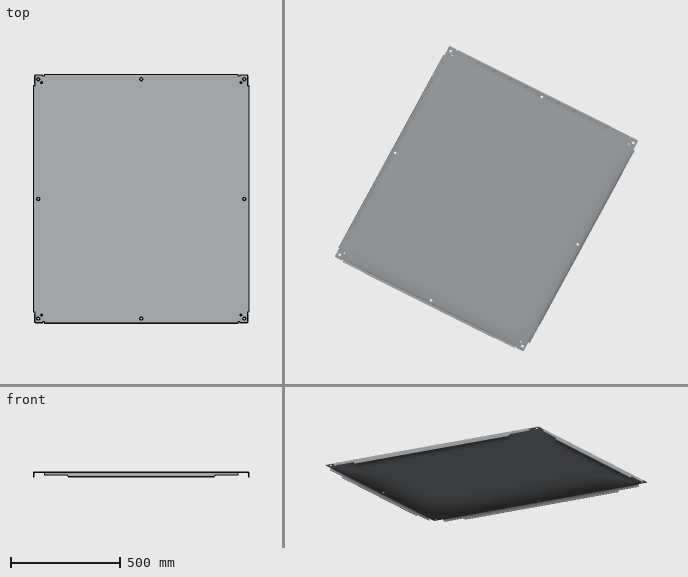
import cadquery as cq

LENGTH_X = 988.0
LENGTH_Y = 1141.0
HEIGHT = 22.0
SHEET = 3.0

BEND_RADIUS = 6.3
SIDE_FLANGE_LENGTH = 1039.0
END_FLANGE_LENGTH = 888.0
STEP_HEIGHT = 14.0
STEP_LENGTH = 104.0
STEP_CHAMFER = 7.0

SIDE_TAB_INSET = 6.0
END_TAB_INSET = 1.7
TAB_RADIUS = 6.0
RELIEF_WIDTH = 8.0

MOUNT_DIAMETER = 13.0
MOUNT_X = 473.0
MOUNT_Y = 549.0
PILOT_DIAMETER = 7.2
PILOT_OFFSET = 16.0

CORNERS = [(sx, sy) for sx in (-1, 1) for sy in (-1, 1)]


def make_plate():
    """Flat panel with rounded corners, cut back to the bend lines and relief slots."""
    plate = (
        cq.Workplane("XY")
        .workplane(offset=-SHEET)
        .rect(LENGTH_X - 2 * SIDE_TAB_INSET, LENGTH_Y - 2 * END_TAB_INSET)
        .extrude(SHEET)
        .edges("|Z")
        .fillet(TAB_RADIUS)
    )
    side_gap = cq.Workplane("XY").box(2 * BEND_RADIUS, SIDE_FLANGE_LENGTH + 2 * RELIEF_WIDTH, HEIGHT)
    end_gap = cq.Workplane("XY").box(END_FLANGE_LENGTH + 2 * RELIEF_WIDTH, 2 * BEND_RADIUS, HEIGHT)
    for sign in (-1, 1):
        plate = plate.cut(side_gap.translate((sign * LENGTH_X / 2, 0, 0)))
        plate = plate.cut(end_gap.translate((0, sign * LENGTH_Y / 2, 0)))
    return plate


def make_flange(length, reach):
    """Bent flange along Y whose outer face lies at x = reach, shallower near its ends."""
    inner_radius = BEND_RADIUS - SHEET
    root = reach - BEND_RADIUS
    diagonal = 0.5 ** 0.5
    flange = (
        cq.Workplane("XZ")
        .moveTo(root, 0)
        .threePointArc(
            (root + BEND_RADIUS * diagonal, -BEND_RADIUS * (1 - diagonal)),
            (reach, -BEND_RADIUS),
        )
        .lineTo(reach, -HEIGHT)
        .lineTo(reach - SHEET, -HEIGHT)
        .lineTo(reach - SHEET, -BEND_RADIUS)
        .threePointArc(
            (root + inner_radius * diagonal, -BEND_RADIUS + inner_radius * diagonal),
            (root, -SHEET),
        )
        .close()
        .extrude(length / 2, both=True)
    )
    half = length / 2
    step_start = half - STEP_LENGTH
    for sign in (-1, 1):
        notch = (
            cq.Workplane("YZ")
            .workplane(offset=root)
            .moveTo(sign * (step_start - STEP_CHAMFER), -HEIGHT)
            .lineTo(sign * step_start, -STEP_HEIGHT)
            .lineTo(sign * half, -STEP_HEIGHT)
            .lineTo(sign * half, -HEIGHT)
            .close()
            .extrude(2 * BEND_RADIUS)
        )
        flange = flange.cut(notch)
    return flange


def drill(panel, diameter, points):
    """Drill through holes in the panel at the given points."""
    holes = (
        cq.Workplane("XY")
        .workplane(offset=-HEIGHT)
        .pushPoints(points)
        .circle(diameter / 2)
        .extrude(2 * HEIGHT)
    )
    return panel.cut(holes)


mount_points = [(sx * MOUNT_X, sy * MOUNT_Y) for sx, sy in CORNERS]
mount_points += [(-MOUNT_X, 0), (MOUNT_X, 0), (0, -MOUNT_Y), (0, MOUNT_Y)]
pilot_points = [
    (sx * (MOUNT_X - PILOT_OFFSET), sy * (MOUNT_Y - PILOT_OFFSET)) for sx, sy in CORNERS
]

panel = make_plate()
side_flange = make_flange(SIDE_FLANGE_LENGTH, LENGTH_X / 2)
end_flange = make_flange(END_FLANGE_LENGTH, LENGTH_Y / 2)
for turn in (0, 180):
    panel = panel.union(side_flange.rotate((0, 0, 0), (0, 0, 1), turn))
    panel = panel.union(end_flange.rotate((0, 0, 0), (0, 0, 1), turn + 90))
panel = drill(panel, MOUNT_DIAMETER, mount_points)
result = drill(panel, PILOT_DIAMETER, pilot_points)